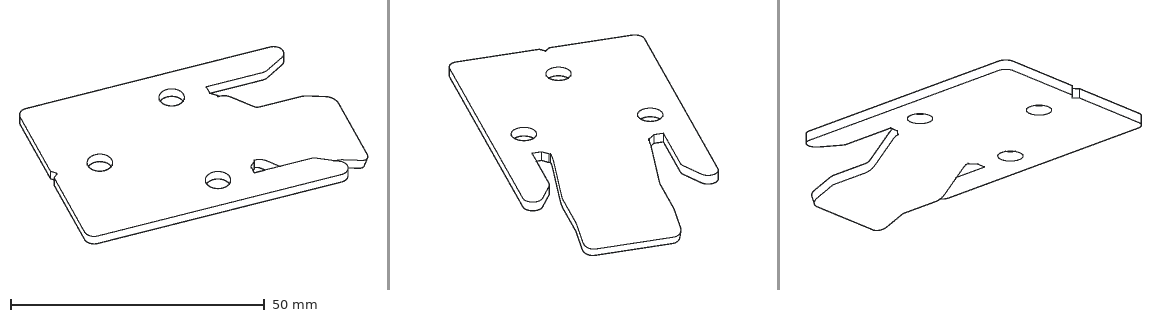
import cadquery as cq
import math

thickness = 2.0
plate_width = 40.0
corner_radius = 2.0
overall_length = 63.25
rear_notch = 1.0

arm_end_y = 55.35
arm_inner_x = 13.5
arm_slope_angle = 58.0
arm_blend_radius = 2.0
slot_floor_y = 37.45

tab_width = 20.05
tab_root_y = 38.65
relief_top_half = 10.3
inner_bend_radius = thickness
outer_bend_radius = inner_bend_radius + thickness
drop_angle = 40.0
tip_angle = 20.0
drop_length = 6.45
level_length = 8.5

hole_diameter = 5.0
front_hole_x = 12.95
front_hole_y = 30.0
rear_hole_y = 10.0


def make_plate():
    """Flat plate with rounded arms, a central root for the tab and a rear notch."""
    half_width = plate_width / 2
    slope = math.radians(arm_slope_angle)
    center_x = half_width - corner_radius
    center_y = arm_end_y - corner_radius
    tangent_x = center_x - corner_radius * math.sin(slope)
    tangent_y = center_y + corner_radius * math.cos(slope)
    shoulder_y = tangent_y - (tangent_x - arm_inner_x) * math.tan(slope)
    middle = math.radians((90 + arm_slope_angle) / 2)
    middle_x = center_x + corner_radius * math.cos(middle)
    middle_y = center_y + corner_radius * math.sin(middle)
    relief_bottom_half = relief_top_half + tab_root_y - slot_floor_y

    half_plate = (
        cq.Workplane("XY")
        .moveTo(0, rear_notch)
        .lineTo(rear_notch, 0)
        .lineTo(half_width, 0)
        .lineTo(half_width, center_y)
        .threePointArc((middle_x, middle_y), (tangent_x, tangent_y))
        .lineTo(arm_inner_x, shoulder_y)
        .lineTo(arm_inner_x, slot_floor_y)
        .lineTo(relief_bottom_half, slot_floor_y)
        .lineTo(relief_top_half, tab_root_y)
        .lineTo(0, tab_root_y)
        .close()
        .extrude(-thickness)
    )
    half_plate = half_plate.edges(
        cq.selectors.NearestToPointSelector((half_width, 0, -thickness / 2))
    ).fillet(corner_radius)
    half_plate = half_plate.edges(
        cq.selectors.NearestToPointSelector((arm_inner_x, shoulder_y, -thickness / 2))
    ).fillet(arm_blend_radius)
    return half_plate.union(half_plate.mirror("YZ"))


def around(center, radius, degrees):
    """Point on a circle in the YZ plane, measured from +Z toward +Y."""
    angle = math.radians(degrees)
    return (center[0] + radius * math.sin(angle), center[1] + radius * math.cos(angle))


def along(point, length, down_angle):
    """Point reached from another by running forward and down."""
    angle = math.radians(down_angle)
    return (point[0] + length * math.cos(angle), point[1] - length * math.sin(angle))


def make_tab():
    """Bent strip of constant thickness with rounded tip corners."""
    root_center = (tab_root_y, -outer_bend_radius)
    drop_start = around(root_center, outer_bend_radius, drop_angle)
    drop_end = along(drop_start, drop_length, drop_angle)
    level_center = around(drop_end, inner_bend_radius, drop_angle)
    level_start = around(level_center, -inner_bend_radius, 0)
    level_end = along(level_start, level_length, 0)
    tip_center = (level_end[0], level_end[1] - outer_bend_radius)
    tip_start = around(tip_center, outer_bend_radius, tip_angle)
    tip_length = (overall_length - tip_start[0]) / math.cos(math.radians(tip_angle))
    tip_end = along(tip_start, tip_length, tip_angle)

    strip = (
        cq.Workplane("YZ")
        .moveTo(tab_root_y, 0)
        .threePointArc(around(root_center, outer_bend_radius, drop_angle / 2), drop_start)
        .lineTo(*drop_end)
        .threePointArc(around(level_center, -inner_bend_radius, drop_angle / 2), level_start)
        .lineTo(*level_end)
        .threePointArc(around(tip_center, outer_bend_radius, tip_angle / 2), tip_start)
        .lineTo(*tip_end)
        .lineTo(*around(tip_end, -thickness, tip_angle))
        .lineTo(*around(tip_center, inner_bend_radius, tip_angle))
        .threePointArc(
            around(tip_center, inner_bend_radius, tip_angle / 2),
            around(tip_center, inner_bend_radius, 0),
        )
        .lineTo(*around(level_center, -outer_bend_radius, 0))
        .threePointArc(
            around(level_center, -outer_bend_radius, drop_angle / 2),
            around(level_center, -outer_bend_radius, drop_angle),
        )
        .lineTo(*around(root_center, inner_bend_radius, drop_angle))
        .threePointArc(
            around(root_center, inner_bend_radius, drop_angle / 2),
            (tab_root_y, -thickness),
        )
        .close()
        .extrude(tab_width / 2, both=True)
    )
    tip_middle = around(tip_end, -thickness / 2, tip_angle)
    for side in (-1, 1):
        corner = (side * tab_width / 2, tip_middle[0], tip_middle[1])
        strip = strip.edges(cq.selectors.NearestToPointSelector(corner)).fillet(corner_radius)
    return strip


hole_centers = [
    (-front_hole_x, front_hole_y),
    (front_hole_x, front_hole_y),
    (0, rear_hole_y),
]
holes = (
    cq.Workplane("XY")
    .pushPoints(hole_centers)
    .circle(hole_diameter / 2)
    .extrude(-thickness)
)

result = make_plate().cut(holes).union(make_tab())